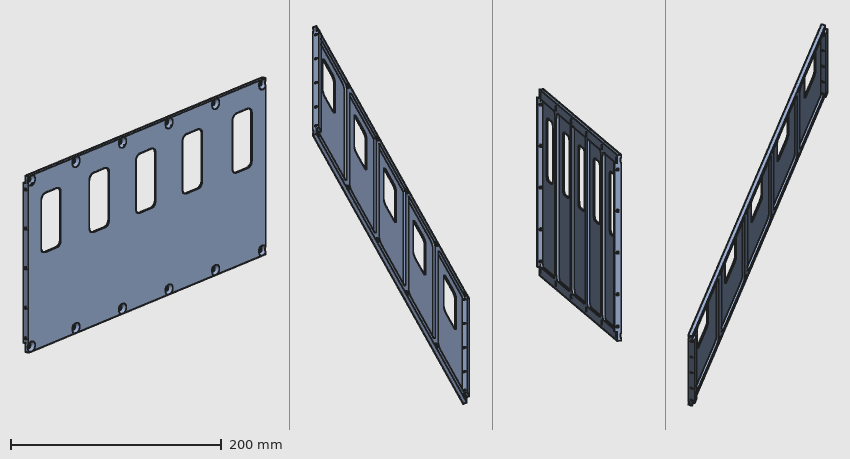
import cadquery as cq
import math

length = 342.0
height = 180.0
total_depth = 6.5
lip_projection = 2.5
plate_thickness = total_depth - lip_projection
back_x = total_depth / 2
plate_front_x = back_x - plate_thickness
lip_front_x = plate_front_x - lip_projection

end_wall = 5.0
lip_top_z = 82.0
lip_bottom_z = -81.0

rib_count = 4
rib_pitch = 67.0
first_rib_y = 99.0
rib_width = 7.2
rib_places = [first_rib_y - i * rib_pitch for i in range(rib_count)]

pocket_depth = 2.55
pocket_height = 162.0
pocket_corner_radius = 5.8
end_corner_radius = 2.0

window_width = 28.5
window_height = 60.5
window_corner_radius = 5.8
window_z = 36.0
end_window_places = [137.0, -138.0]
end_window_width = 28.0

fixing_diameter = 4.5
fixing_edge_distance = 5.0
end_fixing_distance = 4.5
end_fixing_y = length / 2 - end_fixing_distance
countersink_diameter = 10.5
countersink_depth = (countersink_diameter - fixing_diameter) / 2

cross_hole_diameter = 2.5
cross_hole_setback = 2.95
cross_hole_x = lip_front_x + cross_hole_setback
cross_hole_heights = [76.0, 36.0, -4.5, -44.8, -76.0]


def block(x_min, x_max, y_min, y_max, z_min, z_max):
    """Box between two opposite corners."""
    size = (x_max - x_min, y_max - y_min, z_max - z_min)
    return cq.Workplane("XY").box(*size, centered=False).translate((x_min, y_min, z_min))


def pocket(y_min, y_max, square_top_corners=()):
    """Pocket cutter: small corners at the plate ends, larger ones beside the ribs."""
    half_height = pocket_height / 2
    cutter = block(plate_front_x, plate_front_x + pocket_depth, y_min, y_max, -half_height, half_height)
    for side, y in (("<Y", y_min), (">Y", y_max)):
        at_plate_end = math.isclose(abs(y), length / 2 - end_wall)
        radius = end_corner_radius if at_plate_end else pocket_corner_radius
        edges = cutter.faces(side).edges("|X")
        if side in square_top_corners:
            edges = edges.edges("<Z")
        cutter = edges.fillet(radius)
    return cutter


def window(y, width):
    """Rounded window cutter through the whole plate."""
    profile = cq.Workplane("YZ", origin=(plate_front_x, y, window_z)).rect(width, window_height)
    cutter = profile.extrude(plate_thickness)
    return cutter.edges("|X").fillet(window_corner_radius)


def round_cutters(x_start, depth, diameter, places):
    """Cylinders along X at the given (y, z) places."""
    plane = cq.Workplane("YZ", origin=(x_start, 0, 0))
    return plane.pushPoints(places).circle(diameter / 2).extrude(depth)


def countersinks(places):
    """Right-angled cones at the given (y, z) places, widest at the back face."""
    small_radius = fixing_diameter / 2
    large_radius = countersink_diameter / 2
    along_x = cq.Vector(1, 0, 0)
    cones = cq.Workplane("XY")
    for y, z in places:
        start = cq.Vector(back_x - countersink_depth, y, z)
        cones.add(cq.Solid.makeCone(small_radius, large_radius, countersink_depth, start, along_x))
    return cq.Workplane(cq.Compound.makeCompound(cones.vals()))


half_length = length / 2
body = block(plate_front_x, back_x, -half_length, half_length, -height / 2, height / 2)
for lip_y in (-half_length, half_length - end_wall):
    body = body.union(block(lip_front_x, plate_front_x, lip_y, lip_y + end_wall, lip_bottom_z, lip_top_z))

pocket_tops = [half_length - end_wall] + [y - rib_width / 2 for y in rib_places]
pocket_bottoms = [y + rib_width / 2 for y in rib_places] + [end_wall - half_length]
square_sides = [(), ("<Y",), ("<Y", ">Y"), (">Y",), ()]
for y_min, y_max, square in zip(pocket_bottoms, pocket_tops, square_sides):
    body = body.cut(pocket(y_min, y_max, square))

middle_windows = [(a + b) / 2 for a, b in zip(rib_places, rib_places[1:])]
for y in middle_windows:
    body = body.cut(window(y, window_width))
for y in end_window_places:
    body = body.cut(window(y, end_window_width))

fixing_z = height / 2 - fixing_edge_distance
fixing_columns = [end_fixing_y] + rib_places + [-end_fixing_y]
fixings = [(y, z) for y in fixing_columns for z in (-fixing_z, fixing_z)]
body = body.cut(round_cutters(plate_front_x, plate_thickness, fixing_diameter, fixings))
body = body.cut(countersinks(fixings))

cross_places = [(cross_hole_x, z) for z in cross_hole_heights]
for wall_y in (-half_length + end_wall, half_length):
    plane = cq.Workplane("XZ", origin=(0, wall_y, 0))
    body = body.cut(plane.pushPoints(cross_places).circle(cross_hole_diameter / 2).extrude(end_wall))

result = body